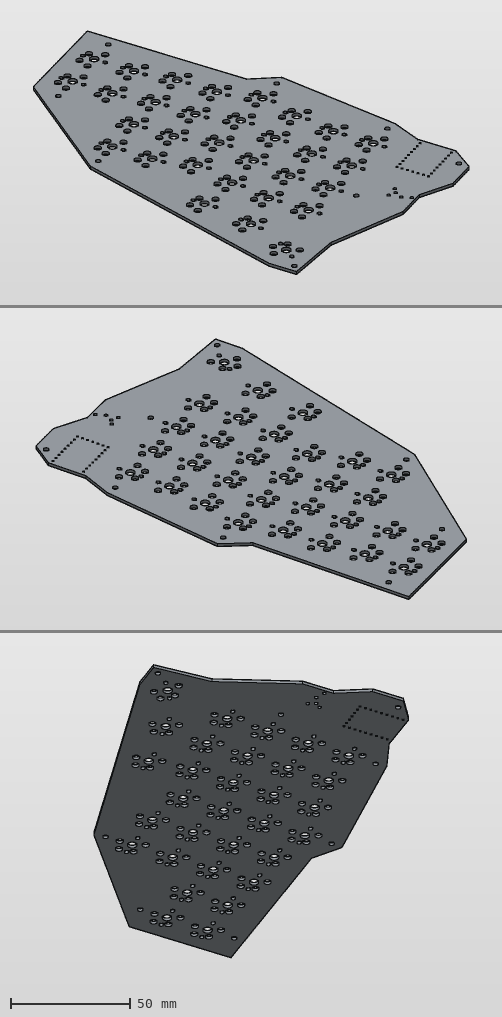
import cadquery as cq
import math


BOARD_LENGTH = 189.6
BOARD_WIDTH = 125.7
BOARD_THICKNESS = 1.5
SHOULDER_Y = 117.5
CONTROLLER_EDGE_Y = 111.9
WAIST_X = 181.3

OUTLINE = [
    (0, SHOULDER_Y),
    (76.0, SHOULDER_Y),
    (88.4, BOARD_WIDTH),
    (146.8, 117.8),
    (160.8, CONTROLLER_EDGE_Y),
    (179.0, CONTROLLER_EDGE_Y),
    (BOARD_LENGTH, 104.1),
    (BOARD_LENGTH, 89.7),
    (WAIST_X, 75.5),
    (WAIST_X, 61.0),
    (165.7, 26.2),
    (163.5, 0),
    (150.4, 0),
    (49.5, 28.6),
    (0, 69.8),
]

COLUMN_COUNT = 8
ROW_COUNT = 4
SHORT_COLUMNS = (0, 1)
SHORT_ROW_COUNT = 2
FIRST_COLUMN_X = 12.5
BOTTOM_ROW_Y = 43.2
GRID_LENGTH = 133.3
KEY_PITCH = GRID_LENGTH / (COLUMN_COUNT - 1)
SMALL_STAGGER = 2.8
LARGE_STAGGER = 7.8
COLUMN_STAGGER = [0, 0, SMALL_STAGGER, SMALL_STAGGER, LARGE_STAGGER, SMALL_STAGGER, 0, 0]

THUMB_KEYS = [
    (105.0, 26.7, 0),
    (129.5, 22.5, -10),
    (151.9, 12.3, -35),
]

CONTROLLER_PIN_DIAMETER = 0.8
CONTROLLER_LEFT_X = 163.0
CONTROLLER_TOP_Y = 109.8
CONTROLLER_ROW_GAP = 15.0
SIDE_ROW_LENGTH = 20.3
SIDE_PIN_COUNT = 9
END_PIN_COUNT = 5
PIN_PITCH = SIDE_ROW_LENGTH / (SIDE_PIN_COUNT - 1)

STEM_DIAMETER = 4.0
STEM_POSITIONS = [(0, 0)]
CONTACT_DIAMETER = 3.0
CONTACT_POSITIONS = [
    (PIN_PITCH, 2 * PIN_PITCH),
    (-1.5 * PIN_PITCH, PIN_PITCH),
    (-5.0, -3.8),
    (0, -5.9),
]
PEG_DIAMETER = 1.7
PEG_OFFSETS = (5.1, 5.5)

MOUNT_DIAMETER = 2.3
MOUNT_KEY_DISTANCE = 12.5
CORNER_MOUNTS = [(184.7, 104.1), (160.6, 3.5)]

JACK_HOLE_DIAMETER = 1.5
JACK_PEG_X = 170.1
JACK_PIN_Y = 72.0
JACK_POSITIONS = [
    (JACK_PEG_X, 74.5),
    (JACK_PEG_X, 69.0),
    (171.8, JACK_PIN_Y),
    (179.5, JACK_PIN_Y),
    (175.5, 70.4),
]


def key_center(column, row):
    """Centre of a grid key; column 0 is leftmost and row 0 is lowest."""
    x = FIRST_COLUMN_X + column * KEY_PITCH
    y = BOTTOM_ROW_Y + COLUMN_STAGGER[column] + row * KEY_PITCH
    return x, y


def all_keys():
    """Centre and rotation of every key."""
    keys = list(THUMB_KEYS)
    for column in range(COLUMN_COUNT):
        first_row = ROW_COUNT - SHORT_ROW_COUNT if column in SHORT_COLUMNS else 0
        for row in range(first_row, ROW_COUNT):
            keys.append((*key_center(column, row), 0))
    return keys


def at_every_key(offsets):
    """Repeat the offsets around every key, turned with the key."""
    points = []
    for x, y, degrees in all_keys():
        cosine = math.cos(math.radians(degrees))
        sine = math.sin(math.radians(degrees))
        for dx, dy in offsets:
            points.append((x + cosine * dx - sine * dy, y + sine * dx + cosine * dy))
    return points


def mount_positions():
    """Screws above, below or beside keys at the rim of the grid, and two at the corners."""
    top_row = ROW_COUNT - 1
    short_bottom_row = ROW_COUNT - SHORT_ROW_COUNT
    last_column = COLUMN_COUNT - 1
    neighbours = [
        (0, top_row, (0, 1)),
        (0, short_bottom_row, (0, -1)),
        (2, 0, (0, -1)),
        (4, top_row, (0, 1)),
        (last_column, top_row, (0, 1)),
        (last_column, 1, (1, 0)),
    ]
    points = list(CORNER_MOUNTS)
    for column, row, (toward_x, toward_y) in neighbours:
        x, y = key_center(column, row)
        points.append((x + toward_x * MOUNT_KEY_DISTANCE, y + toward_y * MOUNT_KEY_DISTANCE))
    return points


def controller_positions():
    middle_x = CONTROLLER_LEFT_X + CONTROLLER_ROW_GAP / 2
    end_y = CONTROLLER_TOP_Y - SIDE_ROW_LENGTH
    points = []
    for i in range(SIDE_PIN_COUNT):
        y = CONTROLLER_TOP_Y - i * PIN_PITCH
        points += [(CONTROLLER_LEFT_X, y), (CONTROLLER_LEFT_X + CONTROLLER_ROW_GAP, y)]
    for i in range(END_PIN_COUNT):
        pitches_from_middle = i - (END_PIN_COUNT - 1) / 2
        points.append((middle_x + pitches_from_middle * PIN_PITCH, end_y))
    return points


def drill(board, points, diameter):
    """Cut a round through hole at every point."""
    drills = cq.Workplane("XY").pushPoints(points).circle(diameter / 2).extrude(BOARD_THICKNESS)
    return board.cut(drills)


board = cq.Workplane("XY").polyline(OUTLINE).close().extrude(BOARD_THICKNESS)
board = drill(board, at_every_key(STEM_POSITIONS), STEM_DIAMETER)
board = drill(board, at_every_key(CONTACT_POSITIONS), CONTACT_DIAMETER)
for offset in PEG_OFFSETS:
    board = drill(board, at_every_key([(-offset, 0), (offset, 0)]), PEG_DIAMETER)
board = drill(board, mount_positions(), MOUNT_DIAMETER)
board = drill(board, JACK_POSITIONS, JACK_HOLE_DIAMETER)
board = drill(board, controller_positions(), CONTROLLER_PIN_DIAMETER)

result = board